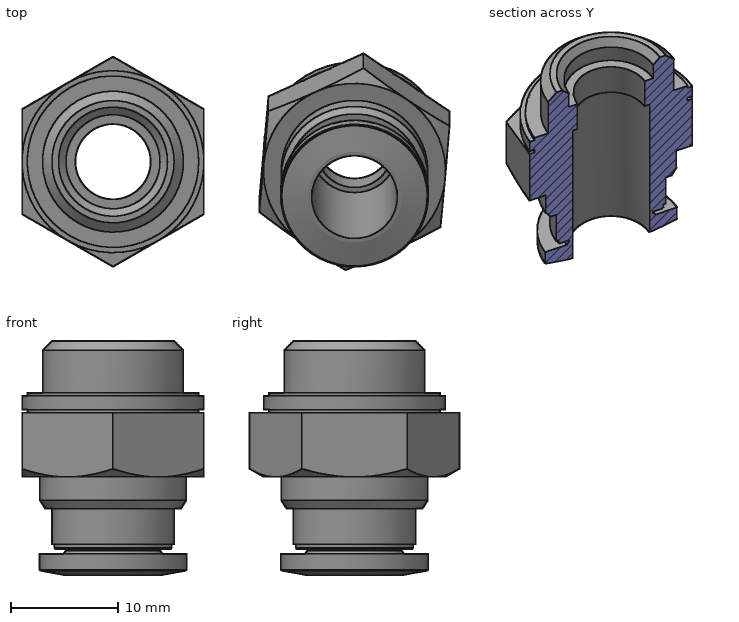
import cadquery as cq
import math

total_height = 21.9

flange_diameter = 13.8
flange_face_diameter = 8.78
flange_cone_height = 0.44
flange_edge = 0.1
flange_top_z = 2.01
neck_base_diameter = 9.29
neck_diameter = 8.8
neck_taper_height = 0.3

lip_diameter = 11.0
lip_chamfer = 0.15
lip_bottom_z = 2.43
sleeve_diameter = 11.45
sleeve_bottom_z = 2.91
shoulder_diameter = 13.7
shoulder_chamfer_width = 0.5
shoulder_chamfer_height = 0.79
shoulder_bottom_z = 6.25

hex_flats = 17.0
hex_bottom_z = 9.2
hex_top_z = 15.2
hex_chamfer_angle = 30
hex_turn = 30

rim_diameter = 16.0
rim_height = 0.28
washer_diameter = hex_flats
washer_height = 1.3

spigot_diameter = 13.16
spigot_face_diameter = 11.4
spigot_chamfer = (spigot_diameter - spigot_face_diameter) / 2

socket_diameter = 8.0
socket_top_z = 16.27
bore_diameter = 7
counterbore_diameter = 8.78
counterbore_depth = 2.39
countersink_diameter = 10.18
countersink_depth = (countersink_diameter - counterbore_diameter) / 2


def cylinder(diameter, bottom_z, top_z):
    return cq.Workplane("XY").workplane(offset=bottom_z).circle(diameter / 2).extrude(top_z - bottom_z)


def cone(bottom_diameter, top_diameter, bottom_z, top_z):
    height = top_z - bottom_z
    return cq.Workplane(
        cq.Solid.makeCone(bottom_diameter / 2, top_diameter / 2, height, pnt=cq.Vector(0, 0, bottom_z))
    )


def release_collar():
    edge_bottom_diameter = flange_diameter - 2 * flange_edge
    edge_top_z = flange_cone_height + flange_edge
    neck_taper_top_z = flange_top_z + neck_taper_height
    collar = cone(flange_face_diameter, edge_bottom_diameter, 0, flange_cone_height)
    collar = collar.union(cone(edge_bottom_diameter, flange_diameter, flange_cone_height, edge_top_z))
    collar = collar.union(cylinder(flange_diameter, edge_top_z, flange_top_z))
    collar = collar.union(cone(neck_base_diameter, neck_diameter, flange_top_z, neck_taper_top_z))
    return collar.union(cylinder(neck_diameter, flange_top_z, sleeve_bottom_z))


def sleeve():
    lip = cylinder(lip_diameter, lip_bottom_z, sleeve_bottom_z).faces("<Z").chamfer(lip_chamfer)
    barrel = cylinder(sleeve_diameter, sleeve_bottom_z, shoulder_bottom_z)
    shoulder_face_diameter = shoulder_diameter - 2 * shoulder_chamfer_width
    chamfer_top_z = shoulder_bottom_z + shoulder_chamfer_height
    taper = cone(shoulder_face_diameter, shoulder_diameter, shoulder_bottom_z, chamfer_top_z)
    shoulder = cylinder(shoulder_diameter, chamfer_top_z, hex_bottom_z)
    return lip.union(barrel).union(taper).union(shoulder)


def hexagon():
    corner_diameter = hex_flats / math.cos(math.pi / 6)
    height = hex_top_z - hex_bottom_z
    prism = (
        cq.Workplane("XY")
        .workplane(offset=hex_bottom_z)
        .transformed(rotate=(0, 0, hex_turn))
        .polygon(6, corner_diameter)
        .extrude(height)
    )
    cone_top_diameter = hex_flats + 2 * height / math.tan(math.radians(hex_chamfer_angle))
    return prism.intersect(cone(hex_flats, cone_top_diameter, hex_bottom_z, hex_top_z))


def washer_and_spigot():
    washer_bottom_z = hex_top_z + rim_height
    washer_top_z = washer_bottom_z + washer_height
    rims = cylinder(rim_diameter, hex_top_z, washer_top_z + rim_height)
    washer = cylinder(washer_diameter, washer_bottom_z, washer_top_z)
    spigot = cylinder(spigot_diameter, hex_top_z, total_height).faces(">Z").chamfer(spigot_chamfer)
    return rims.union(washer).union(spigot)


def bore():
    through = cylinder(bore_diameter, 0, total_height)
    counterbore = cylinder(counterbore_diameter, total_height - counterbore_depth, total_height)
    countersink = cone(
        counterbore_diameter, countersink_diameter, total_height - countersink_depth, total_height
    )
    socket = cylinder(socket_diameter, 0, socket_top_z)
    return through.union(socket).union(counterbore).union(countersink)


body = release_collar().union(sleeve()).union(hexagon()).union(washer_and_spigot())
result = body.cut(bore())